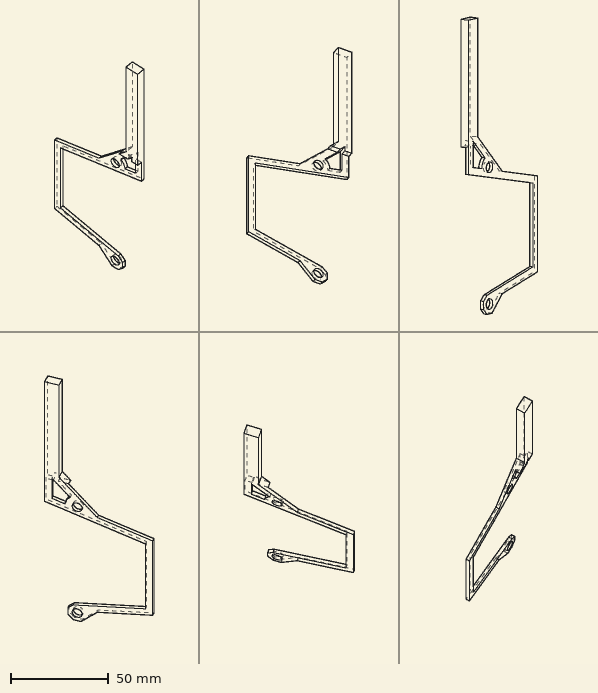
import cadquery as cq
import math

total_width = 59.0
total_height = 155.2
plate_thickness = 2.0
bar_thickness = 5.0

strip_width = 4.0
frame_height = 50.0
arm_angle = math.radians(12.8)
arm_slope = math.tan(arm_angle)
arm_rise = strip_width / math.cos(arm_angle)

hole_diameter = 5.5
eye_x = 41.1
eye_apothem = 5.1
octagon_half_side = eye_apothem * math.tan(math.pi / 8)
eye_spacing = 71.0
lower_eye_z = eye_apothem
upper_eye_z = lower_eye_z + eye_spacing
window_eye_radius = 6.7

bar_width = 7.9
bar_bottom_z = 88.7
bar_left_x = total_width - bar_width

middle_z = (lower_eye_z + upper_eye_z) / 2
frame_top_z = middle_z + frame_height / 2
frame_bottom_z = middle_z - frame_height / 2

brace_offset = eye_apothem * math.sqrt(2)
upper_brace_intercept = upper_eye_z - eye_x + brace_offset
brace_start_x = (frame_top_z - upper_brace_intercept) / (1 - arm_slope)


def arm_top(x):
    """Height of the upper arm's top edge."""
    return frame_top_z + arm_slope * x


def arm_underside(x):
    """Height of the upper arm's lower edge."""
    return arm_top(x) - arm_rise


def brace_edge(x):
    """Height of the upper brace's outer edge."""
    return x + upper_brace_intercept


def mirrored(z):
    """Height reflected about the middle of the frame."""
    return 2 * middle_z - z


def outline():
    """Outer contour shared by the plate and the bar."""
    octagon_right_x = eye_x + eye_apothem
    octagon_corner_x = eye_x + octagon_half_side
    return cq.Workplane("XZ").polyline([
        (0, frame_bottom_z),
        (0, frame_top_z),
        (brace_start_x, arm_top(brace_start_x)),
        (bar_left_x, brace_edge(bar_left_x)),
        (bar_left_x, total_height),
        (total_width, total_height),
        (total_width, arm_underside(total_width)),
        (strip_width, arm_underside(strip_width)),
        (strip_width, mirrored(arm_underside(strip_width))),
        (octagon_corner_x, mirrored(arm_underside(octagon_corner_x))),
        (octagon_right_x, lower_eye_z + octagon_half_side),
        (octagon_right_x, lower_eye_z - octagon_half_side),
        (octagon_corner_x, 0),
        (eye_x - octagon_half_side, 0),
        (brace_start_x, mirrored(arm_top(brace_start_x))),
    ]).close()


def window():
    """Triangular opening between brace, arm and upright, cut back around the upper eye."""
    right_x = total_width - strip_width
    inner_intercept = upper_brace_intercept - strip_width * math.sqrt(2)
    left_x = (frame_top_z - inner_intercept) / (1 - arm_slope)
    triangle = cq.Workplane("XZ").polyline([
        (left_x, arm_top(left_x)),
        (right_x, right_x + inner_intercept),
        (right_x, arm_top(right_x)),
    ]).close().extrude(bar_thickness)
    eye = cq.Workplane("XZ").center(eye_x, upper_eye_z).circle(window_eye_radius).extrude(bar_thickness)
    solid_side = (
        cq.Workplane("XZ")
        .center(eye_x / 2, upper_eye_z)
        .rect(eye_x, total_height)
        .extrude(bar_thickness)
    )
    return triangle.cut(eye).cut(solid_side)


def eye_holes():
    """Through holes of the two eyes."""
    return (
        cq.Workplane("XZ")
        .pushPoints([(eye_x, lower_eye_z), (eye_x, upper_eye_z)])
        .circle(hole_diameter / 2)
        .extrude(bar_thickness)
    )


front_relief = (
    cq.Workplane("XZ", origin=(0, -plate_thickness, 0))
    .rect(total_width, bar_bottom_z, centered=False)
    .extrude(bar_thickness - plate_thickness)
)

result = outline().extrude(bar_thickness).cut(front_relief).cut(window()).cut(eye_holes())